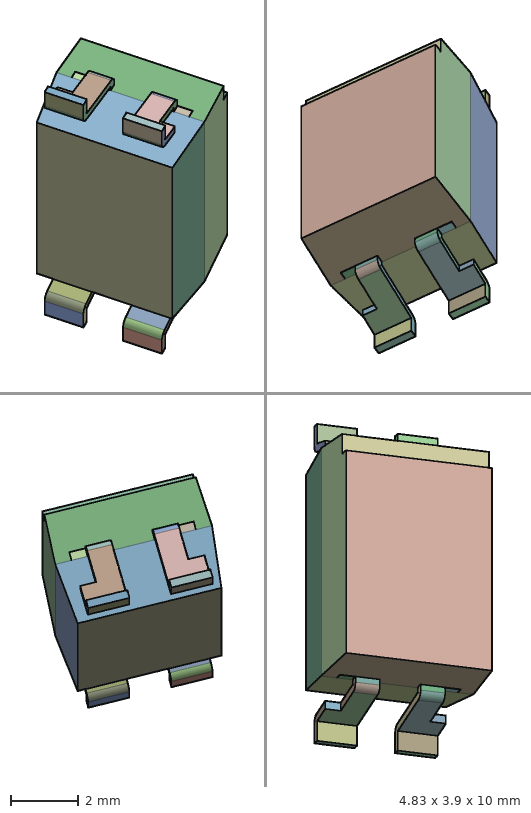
import cadquery as cq
import math

body_width = 4.83
body_height = 7.21
half_depth = 1.9
front_draft = 6.0
back_draft = 3.0

notch_depth = 0.3
notch_height = 0.7

overall_height = 10.03
lead_thickness = 0.254
lead_pitch = 2.56
wide_width = 1.27
narrow_width = 0.775
standoff = 0.1
foot_length = 0.62
neck_length = 0.16
widening_y = -1.04
shoulder_embed = 0.5


def make_body():
    """Two drafted blocks joined at the parting plane, with the back edge notched."""
    front = (
        cq.Workplane("XZ")
        .rect(body_width, body_height)
        .extrude(half_depth, taper=front_draft)
    )
    back = (
        cq.Workplane("XZ")
        .rect(body_width, body_height)
        .extrude(half_depth, taper=back_draft)
        .mirror("XZ")
    )
    notch = cq.Workplane("XY").box(
        body_width, notch_depth, notch_height, centered=(True, False, False)
    ).translate((0, half_depth - notch_depth, body_height / 2 - notch_height))
    return front.union(back).cut(notch)


def make_lead_strip():
    """Full-width bent strip, centred on X = 0, leaving the +Z end of the body."""
    body_end = body_height / 2
    tip_z = overall_height / 2
    foot_front_y = -(half_depth + standoff)
    foot_back_y = foot_front_y + lead_thickness

    neck_corner_z = body_end + neck_length
    foot_corner_z = tip_z - foot_length

    run = -foot_back_y
    rise = foot_corner_z - neck_corner_z
    slope = math.atan2(rise, run) - math.asin(lead_thickness / math.hypot(run, rise))

    def arc_point(center_y, center_z, angle):
        return (
            center_y + lead_thickness * math.cos(angle),
            center_z + lead_thickness * math.sin(angle),
        )

    ramp_normal = math.pi / 2 - slope
    neck_arc_mid = arc_point(0, neck_corner_z, ramp_normal / 2)
    neck_arc_end = arc_point(0, neck_corner_z, ramp_normal)
    foot_arc_mid = arc_point(foot_back_y, foot_corner_z, math.pi + ramp_normal / 2)
    foot_arc_end = arc_point(foot_back_y, foot_corner_z, math.pi + ramp_normal)

    return (
        cq.Workplane("YZ")
        .moveTo(lead_thickness, body_end - shoulder_embed)
        .lineTo(lead_thickness, neck_corner_z)
        .threePointArc(neck_arc_mid, neck_arc_end)
        .lineTo(foot_back_y, foot_corner_z)
        .lineTo(foot_back_y, tip_z)
        .lineTo(foot_front_y, tip_z)
        .lineTo(foot_front_y, foot_corner_z)
        .threePointArc(foot_arc_mid, foot_arc_end)
        .lineTo(0, neck_corner_z)
        .lineTo(0, body_end - shoulder_embed)
        .close()
        .extrude(wide_width / 2, both=True)
    )


def make_lead():
    """Lead on the +X, +Z side, narrowed on its outer edge between shoulder and foot."""
    relief_width = wide_width - narrow_width
    relief_depth = lead_thickness - widening_y
    relief_height = (overall_height - body_height) / 2
    relief = cq.Workplane("XY").box(
        relief_width, relief_depth, relief_height, centered=False
    ).translate((wide_width / 2 - relief_width, widening_y, body_height / 2))
    return make_lead_strip().cut(relief).translate((lead_pitch / 2, 0, 0))


result = make_body()
right_top_lead = make_lead()
left_top_lead = right_top_lead.mirror("YZ")
for top_lead in (right_top_lead, left_top_lead):
    bottom_lead = top_lead.mirror("XY")
    result = result.union(top_lead).union(bottom_lead)